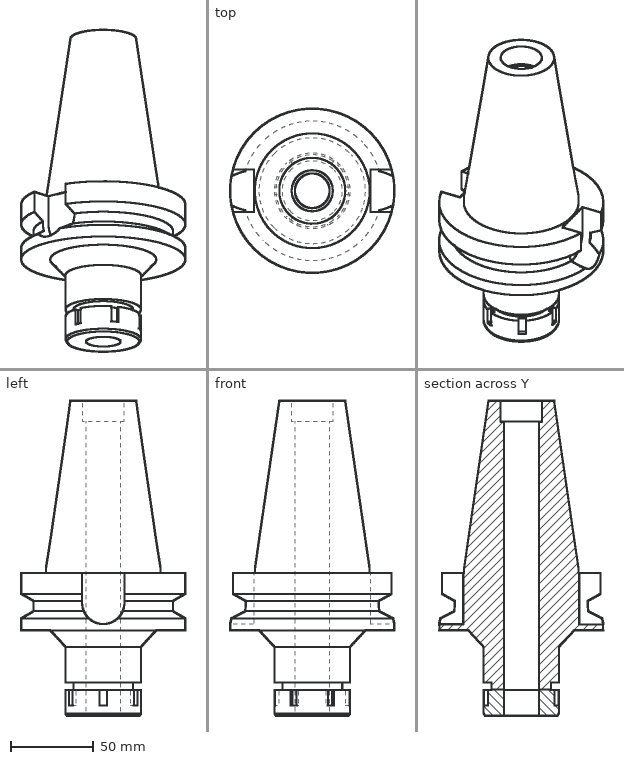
import cadquery as cq
import math


gauge_diameter = 69.85
taper_length = 101.8
taper_ratio = 7 / 24
taper_end_diameter = gauge_diameter - taper_ratio * taper_length

flange_diameter = 100.0
flange_top = -3.0
flange_bottom = -38.0
groove_centre = -23.2
groove_core_diameter = 85.0
groove_core_height = 6.2
groove_side_angle = 30.0
groove_side_rise = (flange_diameter - groove_core_diameter) / 2 * math.tan(math.radians(groove_side_angle))
groove_core_top = groove_centre + groove_core_height / 2
groove_core_bottom = groove_centre - groove_core_height / 2
groove_top = groove_core_top + groove_side_rise
groove_bottom = groove_core_bottom - groove_side_rise

keyway_width = 25.7
keyway_floor_offset = 35.4
keyway_bottom = flange_top - 31.1
keyway_round_centre = keyway_bottom + keyway_width / 2

nose_diameter = 46.0
nose_cone_top_diameter = 64.6
nose_cone_bottom = flange_bottom - 10.1
nose_bottom = -69.7
neck_diameter = 36.5

nut_diameter = 46.0
nut_top = -74.1
nut_bottom = -90.0
nut_chamfer_width = 1.0
nut_chamfer_height = 1.5
nut_slot_count = 6
nut_slot_width = 4.4
nut_slot_length = 9.5
nut_slot_floor_radius = 20.3

bore_diameter = 21.0
socket_diameter = 25.0
socket_depth = 12.8


def cylinder(diameter, bottom, top):
    return cq.Workplane("XY").workplane(offset=bottom).circle(diameter / 2).extrude(top - bottom)


def revolved(outline):
    """Solid of revolution about Z from (radius, height) points."""
    return cq.Workplane("XZ").polyline(outline).close().revolve(360, (0, 0, 0), (0, 1, 0))


def drive_keyway(side):
    """Round-ended keyway cutter, open at the top, on the +X (1) or -X (-1) side."""
    half_width = keyway_width / 2
    depth = flange_diameter / 2 - keyway_floor_offset
    return (
        cq.Workplane("YZ")
        .workplane(offset=side * keyway_floor_offset)
        .moveTo(-half_width, flange_top)
        .lineTo(-half_width, keyway_round_centre)
        .threePointArc((0, keyway_bottom), (half_width, keyway_round_centre))
        .lineTo(half_width, flange_top)
        .close()
        .extrude(side * depth)
    )


def make_holder():
    outline = [
        (0, taper_length),
        (taper_end_diameter / 2, taper_length),
        (gauge_diameter / 2, 0),
        (gauge_diameter / 2, flange_top),
        (flange_diameter / 2, flange_top),
        (flange_diameter / 2, groove_top),
        (groove_core_diameter / 2, groove_core_top),
        (groove_core_diameter / 2, groove_core_bottom),
        (flange_diameter / 2, groove_bottom),
        (flange_diameter / 2, flange_bottom),
        (nose_cone_top_diameter / 2, flange_bottom),
        (nose_diameter / 2, nose_cone_bottom),
        (nose_diameter / 2, nose_bottom),
        (neck_diameter / 2, nose_bottom),
        (neck_diameter / 2, nut_top),
        (0, nut_top),
    ]
    body = revolved(outline)
    for side in (-1, 1):
        body = body.cut(drive_keyway(side))
    body = body.cut(cylinder(bore_diameter, nut_top, taper_length))
    return body.cut(cylinder(socket_diameter, taper_length - socket_depth, taper_length))


def nut_slot(angle):
    """Spanner slot cutter, open at the top and the rim of the nut."""
    depth = nut_diameter / 2 - nut_slot_floor_radius
    cutter_depth = 2 * depth
    return (
        cq.Workplane("XY")
        .workplane(offset=nut_top - nut_slot_length)
        .center(nut_slot_floor_radius + cutter_depth / 2, 0)
        .rect(cutter_depth, nut_slot_width)
        .extrude(nut_slot_length)
        .rotate((0, 0, 0), (0, 0, 1), angle)
    )


def make_nut():
    chamfered_radius = nut_diameter / 2 - nut_chamfer_width
    outline = [
        (0, nut_bottom),
        (chamfered_radius, nut_bottom),
        (nut_diameter / 2, nut_bottom + nut_chamfer_height),
        (nut_diameter / 2, nut_top),
        (0, nut_top),
    ]
    body = revolved(outline)
    for index in range(nut_slot_count):
        body = body.cut(nut_slot(index * 360 / nut_slot_count))
    return body.cut(cylinder(bore_diameter, nut_bottom, nut_top))


holder = make_holder()
nut = make_nut()

result = cq.Compound.makeCompound([holder.val(), nut.val()])